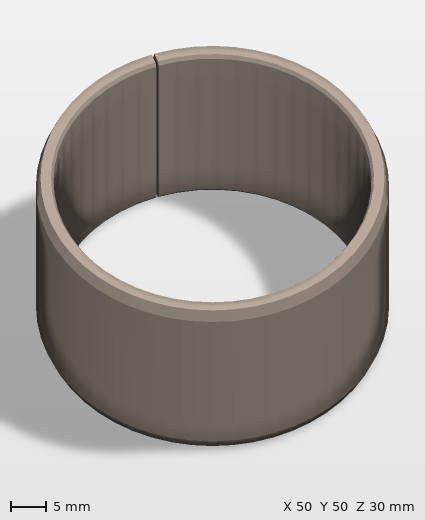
import cadquery as cq
import math

outer_diameter = 50.0
wall_thickness = 2.5
height = 30.0
lead_in_height = 1.8
lead_in_angle = 20.0
bore_chamfer_depth = 0.35
bore_chamfer_height = 0.6
slit_width = 0.4

outer_radius = outer_diameter / 2
bore_radius = outer_radius - wall_thickness
half_height = height / 2
lead_in_depth = lead_in_height * math.tan(math.radians(lead_in_angle))


def make_sleeve():
    """Revolve the wall section, with tapered outer ends and a chamfered bore."""
    wall_section = [
        (bore_radius, -half_height + bore_chamfer_height),
        (bore_radius + bore_chamfer_depth, -half_height),
        (outer_radius - lead_in_depth, -half_height),
        (outer_radius, -half_height + lead_in_height),
        (outer_radius, half_height - lead_in_height),
        (outer_radius - lead_in_depth, half_height),
        (bore_radius + bore_chamfer_depth, half_height),
        (bore_radius, half_height - bore_chamfer_height),
    ]
    return cq.Workplane("XZ").polyline(wall_section).close().revolve(360, (0, 0), (0, 1))


def make_slit():
    """Full-height block from the axis past the -X side, with one face on the XZ plane."""
    block = cq.Workplane("XY").box(outer_diameter, slit_width, height)
    return block.translate((-outer_radius, slit_width / 2, 0))


result = make_sleeve().cut(make_slit())